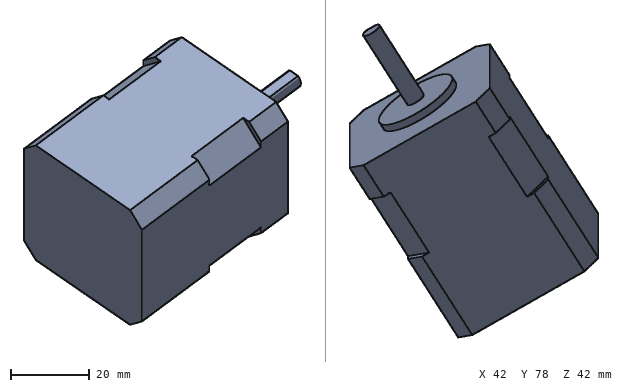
import cadquery as cq

body_width = 42.0
body_length = 54.0
corner_chamfer = 4.2

waist_chamfer = 6.3
waist_offset = 10.0
waist_length = 19.0

pilot_diameter = 22.0
pilot_height = 2.0
total_length = 78.0
shaft_length = total_length - body_length
shaft_diameter = 5.0
flat_length = 15.0
flat_depth = 0.5


def chamfered_block(chamfer, front_y, length):
    """Square block with chamfered long edges, running from front_y toward -Y."""
    return (
        cq.Workplane("XZ", origin=(0, front_y, 0))
        .rect(body_width, body_width)
        .extrude(length)
        .edges("|Y")
        .chamfer(chamfer)
    )


def cylinder(diameter, length):
    """Cylinder on the Y axis, running from the mounting face toward +Y."""
    return cq.Workplane("XZ").circle(diameter / 2).extrude(-length)


def make_body():
    waist_end = waist_offset + waist_length
    front = chamfered_block(corner_chamfer, 0, waist_offset)
    waist = chamfered_block(waist_chamfer, -waist_offset, waist_length)
    rear = chamfered_block(corner_chamfer, -waist_end, body_length - waist_end)
    return front.union(waist).union(rear)


def make_shaft():
    flat_cutter = cq.Workplane("XY").box(
        shaft_diameter, flat_length, flat_depth, centered=(True, False, False)
    ).translate((0, shaft_length - flat_length, shaft_diameter / 2 - flat_depth))
    return cylinder(shaft_diameter, shaft_length).cut(flat_cutter)


result = make_body().union(cylinder(pilot_diameter, pilot_height)).union(make_shaft())